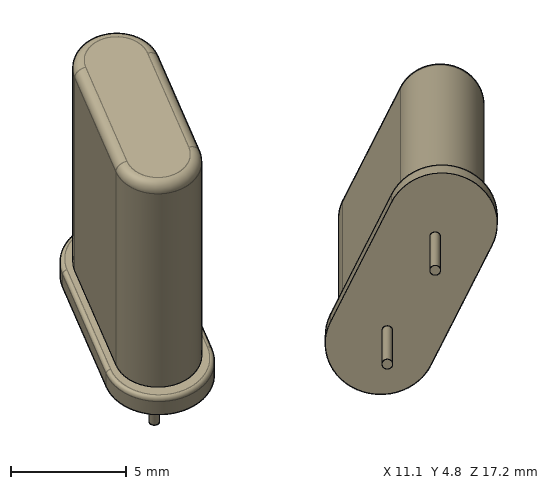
import cadquery as cq

total_height = 17.2
pin_length = 3.6
flange_thickness = 1.03
can_height = total_height - pin_length - flange_thickness

flange_length = 11.05
flange_width = 4.8
flange_edge_radius = 0.2

can_length = 9.7
can_width = 3.8
can_edge_radius = 0.5

pin_diameter = 0.46
pin_spacing = 4.88

flange_top = flange_thickness


def rounded_slot_block(length, width, height, bottom, edge_radius):
    """Upright block with semicircular ends and a rounded top edge."""
    return (
        cq.Workplane("XY", origin=(0, 0, bottom))
        .slot2D(length, width)
        .extrude(height)
        .faces(">Z")
        .edges()
        .fillet(edge_radius)
    )


def make_flange():
    return rounded_slot_block(flange_length, flange_width, flange_thickness, 0, flange_edge_radius)


def make_can():
    return rounded_slot_block(can_length, can_width, can_height, flange_top, can_edge_radius)


def make_pin(x):
    """Round lead hanging from the underside of the flange."""
    return cq.Workplane("XY", origin=(x, 0, 0)).circle(pin_diameter / 2).extrude(-pin_length)


flange = make_flange()
can = make_can()
pins = []
for side in (-1, 1):
    pins.append(make_pin(side * pin_spacing / 2).val())

result = cq.Compound.makeCompound([flange.val(), can.val(), *pins])